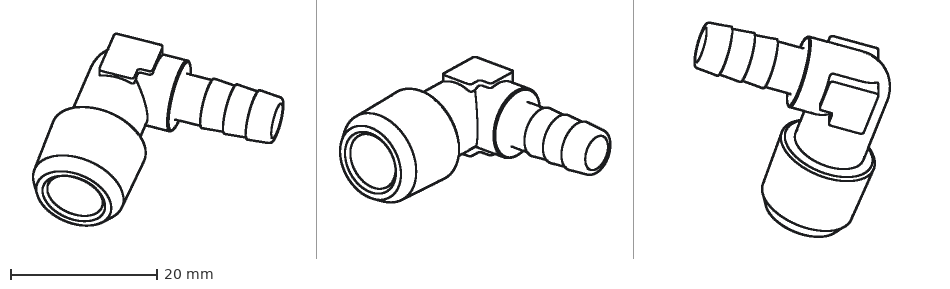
import cadquery as cq

body_radius = 5.0

thread_end = 21.97
thread_chamfer_start = 20.05
thread_large_end = 11.12
shoulder_edge = 10.77
neck_end = 10.43
thread_large_radius = 6.8
thread_small_radius = 6.55
thread_tip_radius = 5.4
shoulder_radius = 6.35

hose_end = 22.0
collar_end = 8.0
collar_chamfer = 0.17
stem_radius = 3.25
stem_fillet = 0.3
barb_start = 12.1
barb_pitch = 3.28
barb_count = 3
barb_radius = 3.5
tip_rounding = 0.4

mouth_radius = 4.52
mouth_depth = 0.52
bore_large_radius = 4.0
bore_small_radius = 3.48
hose_bore_radius = 2.45
hose_bore_dome = 0.52
bore_cone_start = 1.25
bore_tip = 1.65

pad_left = -2.53
pad_right = 4.5
pad_half_depth = 3.5
pad_half_height = 5.53
notch_x = 2.5
notch_y = -1.5
pad_corner_radius = 0.43


def thread_leg():
    """Tapered, plain thread body on the elbow leg, revolved about Y."""
    return (
        cq.Workplane("XY")
        .lineTo(body_radius, 0)
        .lineTo(body_radius, -neck_end)
        .lineTo(shoulder_radius, -shoulder_edge)
        .lineTo(thread_large_radius, -thread_large_end)
        .lineTo(thread_small_radius, -thread_chamfer_start)
        .lineTo(thread_tip_radius, -thread_end)
        .lineTo(0, -thread_end)
        .close()
        .revolve(360, (0, 0, 0), (0, 1, 0))
    )


def hose_leg():
    """Collar and barbed hose stem, revolved about X."""
    root_radius = stem_radius + stem_fillet
    fillet_end = collar_end + stem_fillet
    profile = (
        cq.Workplane("XY")
        .lineTo(0, body_radius)
        .lineTo(collar_end - collar_chamfer, body_radius)
        .lineTo(collar_end, body_radius - collar_chamfer)
        .lineTo(collar_end, root_radius)
        .radiusArc((fillet_end, stem_radius), -stem_fillet)
        .lineTo(barb_start, stem_radius)
    )
    for index in range(barb_count):
        start = barb_start + index * barb_pitch
        end = min(start + barb_pitch, hose_end - tip_rounding)
        profile = profile.lineTo(start, barb_radius).lineTo(end, stem_radius)
    return (
        profile.radiusArc((hose_end, stem_radius - tip_rounding), tip_rounding)
        .lineTo(hose_end, 0)
        .close()
        .revolve(360, (0, 0, 0), (1, 0, 0))
    )


def pads():
    """L-shaped block whose top and bottom form the two flats."""
    return (
        cq.Workplane("XY")
        .workplane(offset=-pad_half_height)
        .moveTo(pad_left, pad_half_depth)
        .lineTo(pad_right, pad_half_depth)
        .lineTo(pad_right, notch_y)
        .lineTo(notch_x, notch_y)
        .lineTo(notch_x, -pad_half_depth)
        .lineTo(pad_left, -pad_half_depth)
        .close()
        .extrude(2 * pad_half_height)
        .edges("|Z")
        .fillet(pad_corner_radius)
    )


def passage():
    """Chamfered, stepped bore with a conical end, joined by the dome-ended hose bore."""
    shoulder_length = bore_large_radius - bore_small_radius
    main_bore = (
        cq.Workplane("XY")
        .moveTo(0, -thread_end)
        .lineTo(mouth_radius, -thread_end)
        .lineTo(bore_large_radius, -thread_end + mouth_depth)
        .lineTo(bore_large_radius, -thread_large_end)
        .lineTo(bore_small_radius, -thread_large_end + shoulder_length)
        .lineTo(bore_small_radius, -bore_cone_start)
        .lineTo(0, bore_tip)
        .close()
        .revolve(360, (0, 0, 0), (0, 1, 0))
    )
    dome_radius = (hose_bore_radius**2 + hose_bore_dome**2) / (2 * hose_bore_dome)
    hose_bore = (
        cq.Workplane("XY")
        .moveTo(-hose_bore_dome, 0)
        .radiusArc((0, hose_bore_radius), dome_radius)
        .lineTo(hose_end, hose_bore_radius)
        .lineTo(hose_end, 0)
        .close()
        .revolve(360, (0, 0, 0), (1, 0, 0))
    )
    return main_bore.union(hose_bore)


elbow_ball = cq.Workplane("XY").sphere(body_radius)
result = thread_leg().union(hose_leg()).union(elbow_ball).union(pads()).cut(passage())